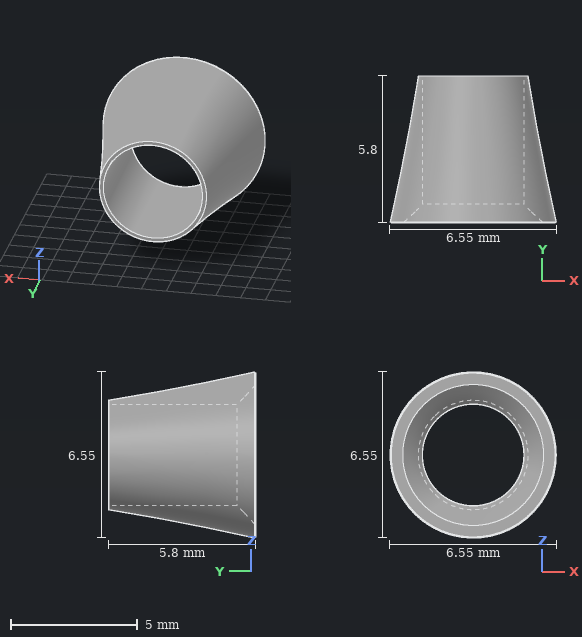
import cadquery as cq

length = 5.8
wide_radius = 3.275
narrow_radius = 2.16
bore_radius = 2.0
mouth_radius = 2.75
mouth_depth = 0.745
edge_rounding = 0.045
mouth_break = 0.025
outer_hollow = 0.045
mouth_bulge = 0.025

front = -length / 2
back = length / 2
throat = front + mouth_depth
rim_start = front + edge_rounding


def bowed_midpoint(start, end, inward):
    """Midpoint of a profile segment, moved toward the axis."""
    return ((start[0] + end[0]) / 2 - inward, (start[1] + end[1]) / 2)


wide_edge = (wide_radius, rim_start)
narrow_edge = (narrow_radius, back)
mouth_edge = (mouth_radius, front + mouth_break)
throat_edge = (bore_radius, throat)

half_section = (
    cq.Workplane("XY")
    .moveTo(*throat_edge)
    .lineTo(bore_radius, back)
    .lineTo(*narrow_edge)
    .threePointArc(bowed_midpoint(narrow_edge, wide_edge, outer_hollow), wide_edge)
    .radiusArc((wide_radius - edge_rounding, front), -edge_rounding)
    .lineTo(mouth_radius + mouth_break, front)
    .lineTo(*mouth_edge)
    .threePointArc(bowed_midpoint(mouth_edge, throat_edge, mouth_bulge), throat_edge)
    .close()
)

result = half_section.revolve(360, (0, 0, 0), (0, 1, 0))